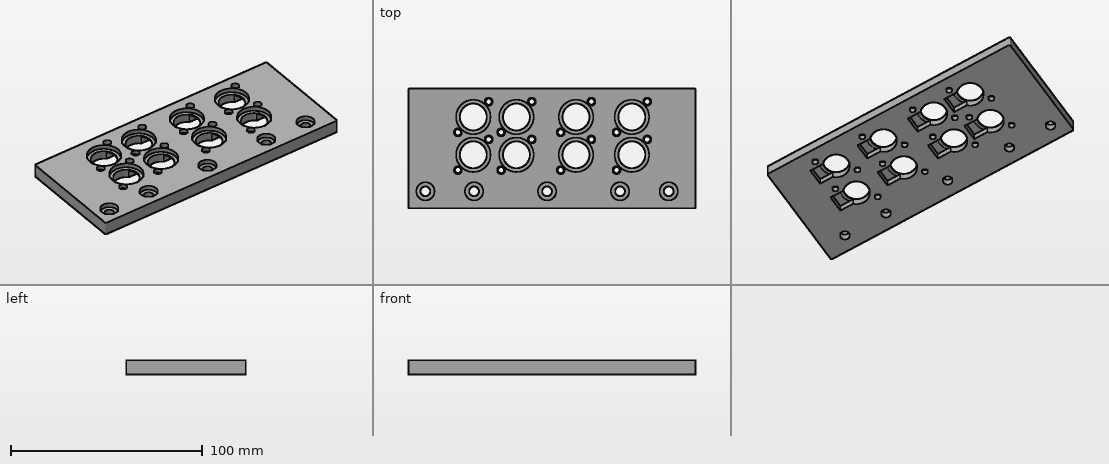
import cadquery as cq

PLATE_LENGTH = 149.99
PLATE_WIDTH = 62.61
PLATE_THICKNESS = 7.54
CORNER_RADIUS = 0.76

CONNECTOR_COLUMNS_X = (-41.08, -18.56, 12.54, 41.68)
CONNECTOR_TOP_ROW_Y = 16.35
CONNECTOR_ROW_PITCH = 19.73
CONNECTOR_ROWS_Y = (CONNECTOR_TOP_ROW_Y, CONNECTOR_TOP_ROW_Y - CONNECTOR_ROW_PITCH)
CONNECTOR_BORE_DIAMETER = 13.95
CONNECTOR_RECESS_DIAMETER = 18.0
CONNECTOR_RECESS_DEPTH = 2.54

SLOT_WIDTH = 9.53
SLOT_REACH = 13.0
SLOT_LIP = 0.6
SLOT_DEPTH = PLATE_THICKNESS - CONNECTOR_RECESS_DEPTH - SLOT_LIP

FLANGE_SCREW_OFFSET = 8.0
FLANGE_SCREW_DIAMETER = 3.1
FLANGE_SCREW_HEAD_DIAMETER = 4.2
FLANGE_SCREW_HEAD_DEPTH = 3.0

MOUNT_MIDDLE_X = -2.58
MOUNT_ROW_Y = -22.45
MOUNT_INNER_PITCH = 38.1
MOUNT_OUTER_PITCH = 25.4
MOUNT_HOLE_DIAMETER = 5.0
MOUNT_HEAD_DIAMETER = 9.53
MOUNT_HEAD_DEPTH = 2.54


def make_plate():
    """Flat plate standing on Z = 0 with rounded vertical corners."""
    plate = cq.Workplane("XY").box(
        PLATE_LENGTH, PLATE_WIDTH, PLATE_THICKNESS, centered=(True, True, False)
    )
    return plate.edges("|Z").fillet(CORNER_RADIUS)


def cut_stepped_holes(plate, centers, bore_diameter, head_diameter, head_depth):
    """Cut through holes with a wider counterbore sunk from the top face."""
    top = cq.Workplane("XY").workplane(offset=PLATE_THICKNESS).pushPoints(centers)
    bores = top.circle(bore_diameter / 2).extrude(-PLATE_THICKNESS)
    heads = top.circle(head_diameter / 2).extrude(-head_depth)
    return plate.cut(bores).cut(heads)


def cut_underside_slots(plate, centers):
    """Cut a slot from the bottom face, starting at each center and reaching toward +X."""
    slots = (
        cq.Workplane("XY")
        .pushPoints([(x + SLOT_REACH / 2, y) for x, y in centers])
        .rect(SLOT_REACH, SLOT_WIDTH)
        .extrude(SLOT_DEPTH)
    )
    return plate.cut(slots)


connector_centers = [(x, y) for x in CONNECTOR_COLUMNS_X for y in CONNECTOR_ROWS_Y]

flange_screw_centers = [
    (x + side * FLANGE_SCREW_OFFSET, y + side * FLANGE_SCREW_OFFSET)
    for x, y in connector_centers
    for side in (-1, 1)
]

mount_outer_offset = MOUNT_INNER_PITCH + MOUNT_OUTER_PITCH
mount_offsets = (-mount_outer_offset, -MOUNT_INNER_PITCH, 0, MOUNT_INNER_PITCH, mount_outer_offset)
mount_centers = [(MOUNT_MIDDLE_X + offset, MOUNT_ROW_Y) for offset in mount_offsets]

result = make_plate()
result = cut_stepped_holes(
    result,
    connector_centers,
    CONNECTOR_BORE_DIAMETER,
    CONNECTOR_RECESS_DIAMETER,
    CONNECTOR_RECESS_DEPTH,
)
result = cut_underside_slots(result, connector_centers)
result = cut_stepped_holes(
    result,
    flange_screw_centers,
    FLANGE_SCREW_DIAMETER,
    FLANGE_SCREW_HEAD_DIAMETER,
    FLANGE_SCREW_HEAD_DEPTH,
)
result = cut_stepped_holes(
    result,
    mount_centers,
    MOUNT_HOLE_DIAMETER,
    MOUNT_HEAD_DIAMETER,
    MOUNT_HEAD_DEPTH,
)